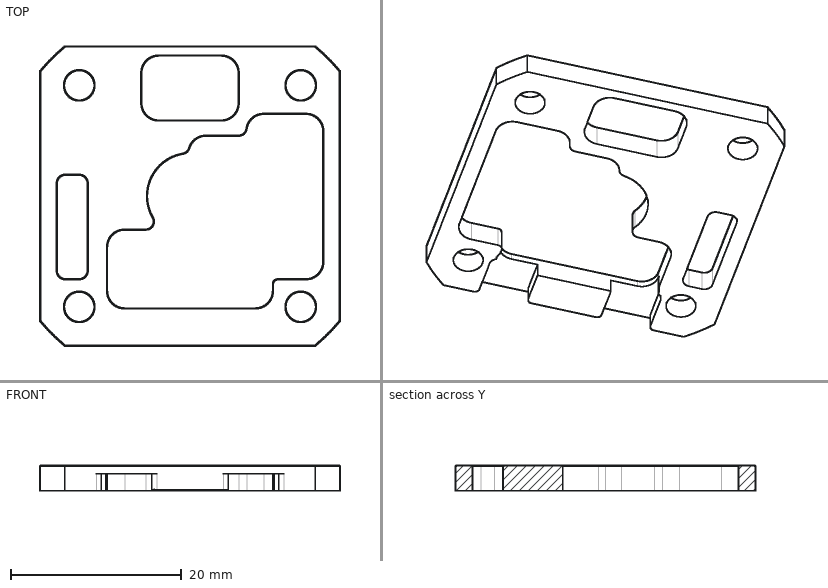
import cadquery as cq
import math

side = 35.2
thickness = 3.0
corner_cut = 2.92
half_side = side / 2
half_flat = half_side - corner_cut

hole_spacing = 25.98
hole_diameter = 3.5

corner_radius = 2.0
window_walls = (-5.65, 5.65, 8.9, 16.45)
slit_walls = (-15.6, -12.05, -9.7, 2.45)
slit_radius = 1.0

lower_bay_walls = (-9.68, 9.68, -13.13, -3.98)
right_bay_walls = (6.65, 15.6, -9.7, 9.6)
middle_bay_walls = (-0.15, 10.55, -7.05, 7.05)
bore_radius = 5.0
ridge_radius = 1.0
lower_ridge_radius = 0.65

slot_height = 2.0
slot_offset = 7.45
slot_outer_width = 5.95
slot_inner_width = 4.85
slot_outer_depth = 5.8
slot_inner_depth = 7.05
slot_end_radius = 1.0
mouth_radius = 0.55

rim_clearance = 0.15

edge_chamfer = 0.088


def rounded_block(walls, radius):
    """Full-height block between the given walls, with rounded upright edges."""
    left, right, bottom, top = walls
    return (
        cq.Workplane("XY")
        .box(right - left, top - bottom, thickness, centered=False)
        .edges("|Z")
        .fillet(radius)
        .translate((left, bottom, 0))
    )


def make_plate():
    """Square plate whose corners follow one circle about the plate centre."""
    corner_circle = cq.Workplane("XY").circle(math.hypot(half_side, half_flat)).extrude(thickness)
    return cq.Workplane("XY").rect(side, side).extrude(thickness).intersect(corner_circle)


def make_screw_holes():
    return (
        cq.Workplane("XY")
        .rect(hole_spacing, hole_spacing, forConstruction=True)
        .vertices()
        .circle(hole_diameter / 2)
        .extrude(thickness)
    )


def make_large_opening():
    """Rounded bays and bore joined together, with every ridge between them rounded off."""
    opening = cq.Workplane("XY").circle(bore_radius).extrude(thickness)
    for walls in (lower_bay_walls, right_bay_walls, middle_bay_walls):
        opening = opening.union(rounded_block(walls, corner_radius))

    left_wall, middle_top = middle_bay_walls[0], middle_bay_walls[3]
    lower_top = lower_bay_walls[3]
    ridges = (
        (-math.sqrt(bore_radius**2 - lower_top**2), lower_top, ridge_radius),
        (left_wall, math.sqrt(bore_radius**2 - left_wall**2), ridge_radius),
        (right_bay_walls[0], middle_top, ridge_radius),
        (lower_bay_walls[1], right_bay_walls[2], lower_ridge_radius),
    )
    for x, y, radius in ridges:
        ridge = cq.selectors.NearestToPointSelector((x, y, thickness / 2))
        opening = opening.edges("|Z").edges(ridge).fillet(radius)
    return opening


def make_slot_step(width, depth):
    """Straight slot running back from y = 0, with rounded inner corners."""
    return (
        cq.Workplane("XY")
        .box(width, depth, slot_height, centered=(True, False, False))
        .edges("|Z and >Y")
        .fillet(slot_end_radius)
    )


def make_slot():
    """Slot starting at y = 0: two steps with rounded inner ends and a flared mouth."""
    half_mouth = slot_outer_width / 2 + mouth_radius
    mouth = cq.Workplane("XY").rect(2 * half_mouth, 2 * mouth_radius).extrude(slot_height)
    for x in (-half_mouth, half_mouth):
        lip = cq.Workplane("XY").center(x, mouth_radius).circle(mouth_radius).extrude(slot_height)
        mouth = mouth.cut(lip)
    outer_step = make_slot_step(slot_outer_width, slot_outer_depth)
    inner_step = make_slot_step(slot_inner_width, slot_inner_depth)
    return outer_step.union(inner_step).union(mouth)


def make_rim_relief():
    """Shallow cut under the rim between the two slots."""
    rim_width = 2 * slot_offset - slot_outer_width
    rim_depth = half_side + lower_bay_walls[2]
    return (
        cq.Workplane("XY")
        .box(rim_width, rim_depth, rim_clearance, centered=(True, False, False))
        .translate((0, -half_side, 0))
    )


result = make_plate()
result = result.cut(make_screw_holes())
result = result.cut(rounded_block(window_walls, corner_radius))
result = result.cut(rounded_block(slit_walls, slit_radius))
result = result.cut(make_large_opening())
for slot_x in (-slot_offset, slot_offset):
    result = result.cut(make_slot().translate((slot_x, -half_side, 0)))
result = result.cut(make_rim_relief())
result = result.faces(">Z").edges().chamfer(edge_chamfer)